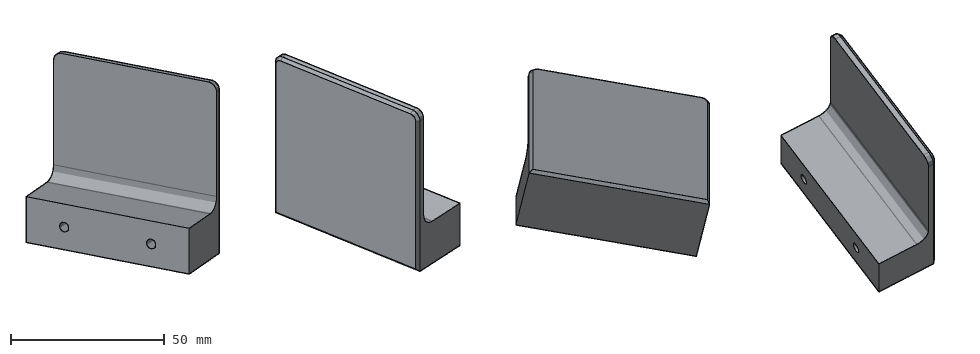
import cadquery as cq
import math

width = 60.0
height = 60.0
depth = 22.0
plate_thickness = 3.0
base_height = 16.0
inner_fillet = 4.5
corner_radius = 3.0
back_chamfer = 1.0
hole_diameter = 3.3
hole_spacing = 32.0
hole_height = 8.0
hole_depth = 12.0
drill_tip_angle = 118.0

plate_front = depth - plate_thickness

body = (
    cq.Workplane("YZ")
    .moveTo(0, 0)
    .lineTo(depth, 0)
    .lineTo(depth, height)
    .lineTo(plate_front, height)
    .lineTo(plate_front, base_height + inner_fillet)
    .radiusArc((plate_front - inner_fillet, base_height), inner_fillet)
    .lineTo(0, base_height)
    .close()
    .extrude(width / 2, both=True)
)

body = body.edges("|Y and >Z").fillet(corner_radius)
body = body.faces(">Y").chamfer(back_chamfer)


def drilled_hole(x):
    """Blind hole with a conical drill tip, entering the base front at x."""
    radius = hole_diameter / 2
    tip_length = radius / math.tan(math.radians(drill_tip_angle / 2))
    return (
        cq.Workplane("XY")
        .moveTo(0, 0)
        .lineTo(radius, 0)
        .lineTo(radius, hole_depth)
        .lineTo(0, hole_depth + tip_length)
        .close()
        .revolve(360, (0, 0, 0), (0, 1, 0))
        .translate((x, 0, hole_height))
    )


for side in (-1, 1):
    body = body.cut(drilled_hole(side * hole_spacing / 2))

result = body